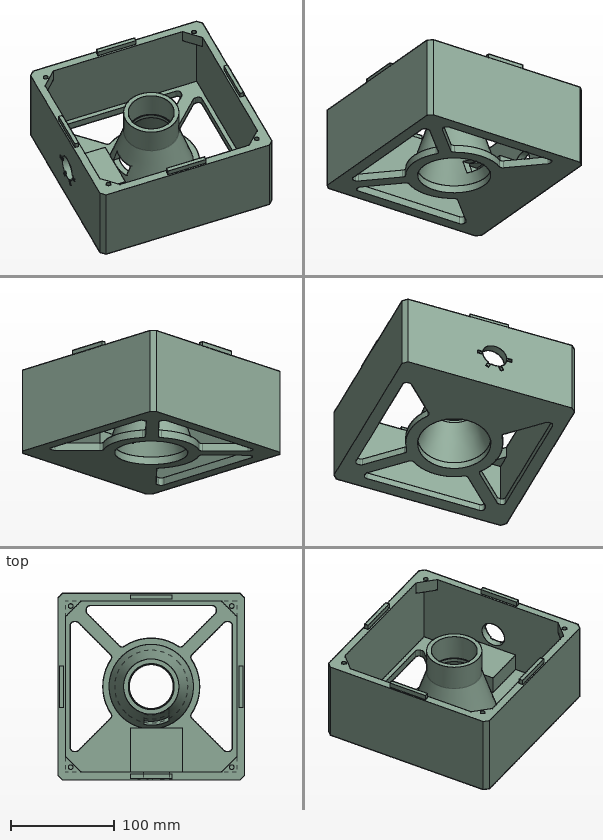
import cadquery as cq
import math

side = 180.0
body_height = 82.5
outer_chamfer = 4.5
wall = 7.5
floor_thickness = 7.5
inner_half = side / 2 - wall

block_leg = 15.0
block_height = 12.6
pin_hole_diameter = 4.5
pin_hole_depth = 10.0
pin_hole_offset = 77.5

tab_length = 40.0
tab_width = 4.0
tab_height = 5.0
tab_edge_gap = 1.6

ledge = 4.5
window_half_length = 62.5
web_width = 12.2
hub_radius = 46.8
window_fillet = 3.6

cone_base_radius = 40.7
cone_top_z = 50.8
tube_diameter = 53.3
tube_top_z = 76.5
tube_bore_diameter = 44.3
throat_diameter = 42.3
throat_height = 3.6
cone_wall = (tube_diameter - throat_diameter) / 2

mount_x = 5.0
mount_width = 50.0
mount_back_y = -39.8
mount_top_z = 25.0
knob_hole_diameter = 25.0
knob_hole_z = 40.0

slot_width = 24.0
slot_bottom_z = 18.4
slot_top_z = 29.5

tick_angles = (0, 180, 244, 296)
tick_width = 3.0
tick_end_radius = 17.6
tick_depth = 1.0


def box_between(x_range, y_range, z_range):
    """Axis-aligned box given by its lower and upper limits."""
    size = [high - low for low, high in (x_range, y_range, z_range)]
    corner = (x_range[0], y_range[0], z_range[0])
    return cq.Workplane("XY").box(*size, centered=False).translate(corner)


def make_shell():
    """Walls and floor of the box."""
    outer = cq.Workplane("XY").rect(side, side).extrude(body_height)
    outer = outer.edges("|Z").chamfer(outer_chamfer)
    cavity = cq.Workplane("XY").workplane(offset=floor_thickness)
    cavity = cavity.rect(2 * inner_half, 2 * inner_half).extrude(body_height)
    return outer.cut(cavity)


def make_corner_block():
    """Triangular block in the +X +Y inner corner."""
    tip = inner_half - block_leg
    block = cq.Workplane("XY").workplane(offset=body_height - block_height)
    block = block.polyline([(inner_half, inner_half), (tip, inner_half), (inner_half, tip)]).close()
    return block.extrude(block_height)


def make_tab():
    """Rim tab on the +Y wall."""
    outer_y = side / 2 - tab_edge_gap
    return box_between(
        (-tab_length / 2, tab_length / 2),
        (outer_y - tab_width, outer_y),
        (body_height, body_height + tab_height),
    )


def make_window():
    """Floor window on the +Y side, between two diagonal webs and the hub."""
    far_y = inner_half - ledge
    web_offset = web_width / math.sqrt(2)
    window = (
        cq.Workplane("XY")
        .moveTo(0, web_offset)
        .lineTo(window_half_length, window_half_length + web_offset)
        .lineTo(window_half_length, far_y)
        .lineTo(-window_half_length, far_y)
        .lineTo(-window_half_length, window_half_length + web_offset)
        .close()
        .extrude(floor_thickness)
    )
    hub = cq.Workplane("XY").circle(hub_radius).extrude(floor_thickness)
    return window.cut(hub).edges("|Z").fillet(window_fillet)


def make_tower():
    """Cone and tube, as a solid of revolution about Z."""
    return (
        cq.Workplane("XZ")
        .moveTo(0, 0)
        .lineTo(cone_base_radius, 0)
        .lineTo(cone_base_radius, floor_thickness)
        .lineTo(tube_diameter / 2, cone_top_z)
        .lineTo(tube_diameter / 2, tube_top_z)
        .lineTo(0, tube_top_z)
        .close()
        .revolve()
    )


def make_tower_bore():
    """Tube bore, narrower throat and flared inside of the cone."""
    return (
        cq.Workplane("XZ")
        .moveTo(0, 0)
        .lineTo(cone_base_radius - cone_wall, 0)
        .lineTo(cone_base_radius - cone_wall, floor_thickness)
        .lineTo(throat_diameter / 2, cone_top_z - throat_height)
        .lineTo(throat_diameter / 2, cone_top_z)
        .lineTo(tube_bore_diameter / 2, cone_top_z)
        .lineTo(tube_bore_diameter / 2, tube_top_z)
        .lineTo(0, tube_top_z)
        .close()
        .revolve()
    )


def make_tick(angle):
    """Radial tick cutter on the front face, starting at the knob hole axis."""
    tick = box_between(
        (0, tick_end_radius),
        (-side / 2, -side / 2 + tick_depth),
        (-tick_width / 2, tick_width / 2),
    )
    tick = tick.rotate((0, 0, 0), (0, 1, 0), -angle)
    return tick.translate((mount_x, 0, knob_hole_z))


def turned(shape, angle):
    """Shape turned about the Z axis."""
    return shape.rotate((0, 0, 0), (0, 0, 1), angle)


result = make_shell()

for angle in (0, 90, 180, 270):
    result = result.union(turned(make_corner_block(), angle))
    result = result.union(turned(make_tab(), angle))

pin_holes = (
    cq.Workplane("XY")
    .workplane(offset=body_height - pin_hole_depth)
    .rect(2 * pin_hole_offset, 2 * pin_hole_offset, forConstruction=True)
    .vertices()
    .circle(pin_hole_diameter / 2)
    .extrude(pin_hole_depth)
)
result = result.cut(pin_holes)

for angle in (0, 90, 270):
    result = result.cut(turned(make_window(), angle))

mount = box_between(
    (mount_x - mount_width / 2, mount_x + mount_width / 2),
    (-inner_half, mount_back_y),
    (floor_thickness, mount_top_z),
)
slot = box_between(
    (mount_x - slot_width / 2, mount_x + slot_width / 2),
    (mount_back_y, 0),
    (slot_bottom_z, slot_top_z),
)
result = result.union(make_tower().cut(slot)).union(mount).cut(make_tower_bore())

knob_hole = (
    cq.Workplane("XZ", origin=(mount_x, -inner_half, knob_hole_z))
    .circle(knob_hole_diameter / 2)
    .extrude(wall)
)
result = result.cut(knob_hole)

for angle in tick_angles:
    result = result.cut(make_tick(angle))